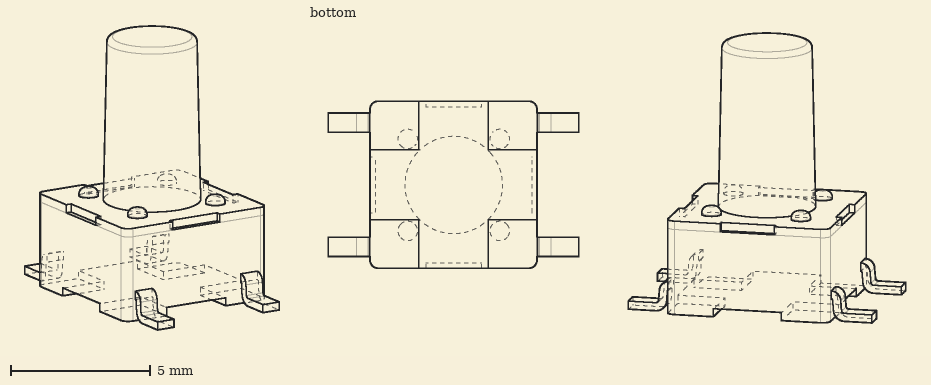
import cadquery as cq
import math

HOUSING_SIDE = 6.0
CORNER_RADIUS = 0.3
COVER_TOP = 3.45
COVER_THICKNESS = 0.3
BASE_TOP = COVER_TOP - COVER_THICKNESS

NOTCH_LENGTH = 2.0
NOTCH_DEPTH = 0.2

CHANNEL_WIDTH = 2.5
CHANNEL_DEPTH = 0.3

BUTTON_TOP = 9.5
BUTTON_BASE_DIAMETER = 3.5
BUTTON_RIM_DIAMETER = 3.25
BUTTON_RIM_RADIUS = 0.2

RIVET_DIAMETER = 0.7
RIVET_HEIGHT = 0.3
RIVET_ROUNDING = 0.25
RIVET_OFFSET = 1.65

TERMINAL_SPAN = 9.0
TERMINAL_WIDTH = 0.7
TERMINAL_OFFSET = 2.23
TERMINAL_THICKNESS = 0.3
TERMINAL_TOP = 1.1
SHOULDER_INNER_BEND = 0.05
SHOULDER_OUTER_BEND = SHOULDER_INNER_BEND + TERMINAL_THICKNESS
FOOT_INNER_BEND = 0.1
FOOT_OUTER_BEND = FOOT_INNER_BEND + TERMINAL_THICKNESS
TERMINAL_LEAN = math.radians(5)
LEG_TOP_X = 3.32
TERMINAL_EMBED = 0.3


def make_base():
    """Rounded square block with two crossed channels underneath."""
    base = (
        cq.Workplane("XY")
        .rect(HOUSING_SIDE, HOUSING_SIDE)
        .extrude(BASE_TOP)
        .edges("|Z")
        .fillet(CORNER_RADIUS)
    )
    for length_x, length_y in ((CHANNEL_WIDTH, HOUSING_SIDE), (HOUSING_SIDE, CHANNEL_WIDTH)):
        channel = cq.Workplane("XY").rect(length_x, length_y).extrude(CHANNEL_DEPTH)
        base = base.cut(channel)
    return base


def make_cover():
    """Rounded square plate with a shallow notch in the middle of each edge."""
    cover = (
        cq.Workplane("XY")
        .workplane(offset=BASE_TOP)
        .rect(HOUSING_SIDE, HOUSING_SIDE)
        .extrude(COVER_THICKNESS)
        .edges("|Z")
        .fillet(CORNER_RADIUS)
    )
    notch = (
        cq.Workplane("XY")
        .workplane(offset=BASE_TOP)
        .center((HOUSING_SIDE - NOTCH_DEPTH) / 2, 0)
        .rect(NOTCH_DEPTH, NOTCH_LENGTH)
        .extrude(COVER_THICKNESS)
    )
    for angle in (0, 90, 180, 270):
        cover = cover.cut(notch.rotate((0, 0, 0), (0, 0, 1), angle))
    return cover


def make_button():
    """Tapered round post with a rounded top rim."""
    rim_start = BUTTON_TOP - BUTTON_RIM_RADIUS
    rim_radius = BUTTON_RIM_DIAMETER / 2
    flat_radius = rim_radius - BUTTON_RIM_RADIUS
    diagonal = BUTTON_RIM_RADIUS * math.sqrt(0.5)
    return (
        cq.Workplane("XZ")
        .moveTo(0, BASE_TOP)
        .lineTo(BUTTON_BASE_DIAMETER / 2, BASE_TOP)
        .lineTo(BUTTON_BASE_DIAMETER / 2, COVER_TOP)
        .lineTo(rim_radius, rim_start)
        .threePointArc((flat_radius + diagonal, rim_start + diagonal), (flat_radius, BUTTON_TOP))
        .lineTo(0, BUTTON_TOP)
        .close()
        .revolve(360, (0, 0, 0), (0, 1, 0))
    )


def make_rivets():
    """Four rivet heads, one toward each corner of the cover."""
    return (
        cq.Workplane("XY")
        .workplane(offset=COVER_TOP)
        .rect(2 * RIVET_OFFSET, 2 * RIVET_OFFSET, forConstruction=True)
        .vertices()
        .circle(RIVET_DIAMETER / 2)
        .extrude(RIVET_HEIGHT)
        .faces(">Z")
        .edges()
        .fillet(RIVET_ROUNDING)
    )


def make_terminal():
    """Right-hand terminal strip, bent from the housing wall down to a flat foot."""
    inner_end = HOUSING_SIDE / 2 - TERMINAL_EMBED
    tip = TERMINAL_SPAN / 2
    shoulder_underside = TERMINAL_TOP - TERMINAL_THICKNESS
    leg_width_x = TERMINAL_THICKNESS / math.cos(TERMINAL_LEAN)

    def outer_face(z):
        return (LEG_TOP_X + math.tan(TERMINAL_LEAN) * (TERMINAL_TOP - z), z)

    def inner_face(z):
        outer_x, _ = outer_face(z)
        return (outer_x - leg_width_x, z)

    upper_outer = outer_face(TERMINAL_TOP)
    lower_outer = outer_face(TERMINAL_THICKNESS)
    upper_inner = inner_face(shoulder_underside)
    lower_inner = inner_face(0)
    strip = (
        cq.Workplane("XZ")
        .polyline([
            (inner_end, TERMINAL_TOP), upper_outer, lower_outer, (tip, TERMINAL_THICKNESS),
            (tip, 0), lower_inner, upper_inner, (inner_end, shoulder_underside),
        ])
        .close()
        .extrude(TERMINAL_WIDTH / 2, both=True)
    )

    def round_corner(body, corner, radius):
        nearest = cq.selectors.NearestToPointSelector((corner[0], 0, corner[1]))
        return body.edges("|Y").edges(nearest).fillet(radius)

    strip = round_corner(strip, upper_outer, SHOULDER_OUTER_BEND)
    strip = round_corner(strip, lower_inner, FOOT_OUTER_BEND)
    strip = round_corner(strip, lower_outer, FOOT_INNER_BEND)
    return round_corner(strip, upper_inner, SHOULDER_INNER_BEND)


result = make_base()
for feature in (make_cover(), make_button(), make_rivets()):
    result = result.union(feature, clean=False)

terminal = make_terminal()
for side_y in (-TERMINAL_OFFSET, TERMINAL_OFFSET):
    right_terminal = terminal.translate((0, side_y, 0))
    for strip in (right_terminal, right_terminal.mirror("YZ")):
        result = result.union(strip, clean=False)